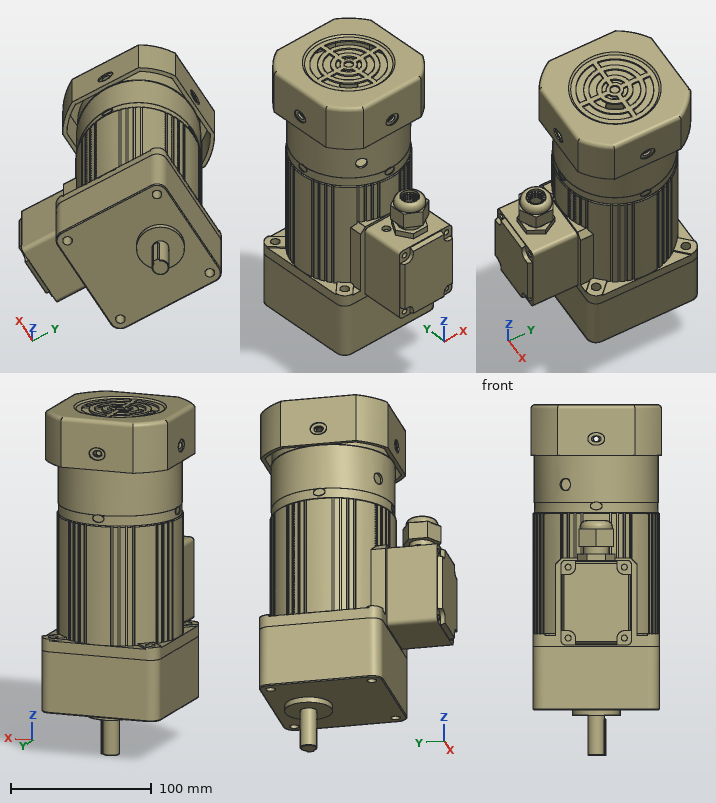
import cadquery as cq
import math


boss_bottom_z = 28.5
gearbox_bottom_z = 32.4
gearbox_top_z = 77.2
flange_top_z = 85.2
frame_top_z = 172.3
bracket_top_z = 213.0
cover_top_z = 249.0

case_width = 90.0
case_half = case_width / 2
case_corner_radius = 8.0
case_edge_chamfer = 0.7
boss_diameter = 34.0
shaft_offset_y = 18.0
mount_hole_offset = 36.9
mount_hole_diameter = 6.7

shaft_diameter = 12.0
shaft_chamfer = 0.5
key_width = 5.0
key_top_x = 7.0
key_length = 26.1
key_chamfer = 0.7

frame_radius = 44.8
ear_width = 12.0
ear_height = 1.2
groove_width = 1.5
groove_depth = 0.7
frame_chamfer = 0.7
groove_pitch_angle = 6.7
grooves_per_group = 4
groove_group_angle = 23.2

seat_width = 57.8
seat_top_z = 140.2
seat_chamfer = 4.5

bracket_radius = 44.0
step_z = 179.5
step_depth = 0.12
spigot_top_z = 229.0
bracket_wall = 1.0
bracket_roof = 2.0
rotor_hole_radius = 6.5
cable_hole_diameter = 8.5
cable_hole_angle = 30.0
cable_hole_z = 192.2
notch_width = 8.5
notch_height = 5.5
notch_depth = 0.7
notch_z = 177.0

cover_width = 93.0
cover_half = cover_width / 2
cover_flat_half = 27.5
cover_wall = 3.0
spigot_radius = cover_half - cover_wall
cover_edge_radius = 3.2
dish_radius = 32.9
dish_floor_radius = 31.4
dish_depth = 1.2
grille_thickness = 1.2
vent_pitch = 9.2
vent_outer_radius = 27.6
vent_widths = [5.5, 5.5, 3.0]
spoke_width = 3.7
center_vent_radius = 3.5
screw_hole_z = 224.5
screw_recess_width = 12.0
screw_recess_height = 9.0
screw_recess_depth = 1.0
screw_slot_width = 6.7
screw_slot_height = 4.5
screw_hole_diameter = 4.0

box_width = 50.0
box_bottom_z = 78.5
box_height = 60.0
box_top_z = box_bottom_z + box_height
box_center_z = box_bottom_z + box_height / 2
box_front_y = -81.7
box_edge_radius = 3.2
lid_front_y = cover_half - 131.5
lid_inset = 0.7
lid_taper = 1.5
lid_screw_x = 20.0
lid_screw_z = 25.1
lid_screw_diameter = 4.2
lid_screw_depth = 5.0
lid_corner_radius = 5.2
box_hole_x = -13.2
box_hole_y = -54.8
box_hole_diameter = 6.2
box_hole_depth = 3.2

gland_y = -64.7
base_across_flats = 23.2
base_height = 4.5
neck_diameter = 18.0
neck_height = 5.2
nut_across_flats = 24.2
nut_height = 12.5
dome_radius = 11.5
dome_height = 6.0
dome_straight = 1.5
mouth_radius = 7.0
mouth_depth = 2.0
gland_bore_radius = 4.7
claw_slots = 16
claw_slot_width = 0.87
claw_slot_depth = 5.0


def z_workplane(z):
    return cq.Workplane("XY", origin=(0, 0, z))


def rounded_square(bottom_z, top_z):
    return (
        z_workplane(bottom_z)
        .rect(case_width, case_width)
        .extrude(top_z - bottom_z)
        .edges("|Z")
        .fillet(case_corner_radius)
    )


def mount_holes(bottom_z, top_z):
    spacing = 2 * mount_hole_offset
    return (
        z_workplane(bottom_z)
        .rect(spacing, spacing, forConstruction=True)
        .vertices()
        .circle(mount_hole_diameter / 2)
        .extrude(top_z - bottom_z)
    )


def make_gearbox():
    case = rounded_square(gearbox_bottom_z, gearbox_top_z).faces("<Z").chamfer(case_edge_chamfer)
    boss = (
        z_workplane(boss_bottom_z)
        .center(0, shaft_offset_y)
        .circle(boss_diameter / 2)
        .extrude(gearbox_bottom_z - boss_bottom_z)
    )
    shaft_hole = (
        z_workplane(boss_bottom_z)
        .center(0, shaft_offset_y)
        .circle(shaft_diameter / 2)
        .extrude(gearbox_bottom_z - boss_bottom_z)
    )
    return case.union(boss).cut(shaft_hole).cut(mount_holes(gearbox_bottom_z, gearbox_top_z))


def make_output_shaft():
    """Shaft with a round-ended key along its +X side, running out at the free end."""
    shaft = (
        cq.Workplane("XY")
        .center(0, shaft_offset_y)
        .circle(shaft_diameter / 2)
        .extrude(gearbox_bottom_z)
        .faces("<Z")
        .chamfer(shaft_chamfer)
    )
    key_round = key_width / 2
    key = (
        cq.Workplane("YZ")
        .center(shaft_offset_y, 0)
        .moveTo(-key_round, 0)
        .lineTo(key_round, 0)
        .lineTo(key_round, key_length - key_round)
        .threePointArc((0, key_length), (-key_round, key_length - key_round))
        .close()
        .extrude(key_top_x)
        .faces(">X")
        .edges("not <Z")
        .chamfer(key_chamfer)
    )
    return shaft.union(key)


def frame_grooves():
    """Groups of grooves on both sides of each of the four axis directions."""
    length = frame_top_z - flange_top_z
    groove = (
        z_workplane(flange_top_z)
        .center(frame_radius, 0)
        .rect(2 * groove_depth, groove_width)
        .extrude(length)
        .val()
    )
    first_angle = groove_group_angle - groove_pitch_angle * (grooves_per_group - 1) / 2
    grooves = []
    for quarter in range(4):
        for side in (-1, 1):
            for index in range(grooves_per_group):
                angle = 90 * quarter + side * (first_angle + groove_pitch_angle * index)
                grooves.append(groove.rotate((0, 0, 0), (0, 0, 1), angle))
    return cq.Compound.makeCompound(grooves)


def flange_ears():
    """Slightly raised strips along the diagonals, from the frame to the flange corners."""
    ear_top_z = flange_top_z + ear_height
    strips = z_workplane(flange_top_z).rect(2 * case_width, ear_width).extrude(ear_height)
    strips = strips.union(strips.rotate((0, 0, 0), (0, 0, 1), 90))
    strips = strips.rotate((0, 0, 0), (0, 0, 1), 45)
    core = z_workplane(flange_top_z).circle(frame_radius).extrude(ear_height)
    return rounded_square(flange_top_z, ear_top_z).intersect(strips).cut(core)


def box_seat():
    return (
        z_workplane(gearbox_top_z)
        .center(0, -case_half / 2)
        .rect(seat_width, case_half)
        .extrude(seat_top_z - gearbox_top_z)
        .edges("|Y and >Z")
        .chamfer(seat_chamfer)
    )


def make_motor_housing():
    flange = rounded_square(gearbox_top_z, flange_top_z)
    frame = (
        z_workplane(flange_top_z)
        .circle(frame_radius)
        .extrude(frame_top_z - flange_top_z)
        .faces(">Z")
        .chamfer(frame_chamfer)
    )
    return (
        flange.union(frame.cut(cq.Workplane(frame_grooves())))
        .union(flange_ears())
        .union(box_seat())
        .cut(mount_holes(gearbox_top_z, flange_top_z + ear_height))
    )


def side_oval(width, height, depth, z, surface):
    """Horizontal oval sunk toward the axis from a surface on the -Y side."""
    return (
        cq.Workplane("XZ", origin=(0, -(surface - depth), z))
        .ellipse(width / 2, height / 2)
        .extrude(2 * depth)
    )


def on_four_sides(shape):
    copies = shape
    for quarter in range(1, 4):
        copies = copies.union(shape.rotate((0, 0, 0), (0, 0, 1), 90 * quarter))
    return copies


def bracket_cavity():
    """Round space inside the bracket, with an opening in its roof for the rotor."""
    cavity_radius = spigot_radius - bracket_wall
    height = spigot_top_z - frame_top_z
    cavity = z_workplane(frame_top_z).circle(cavity_radius).extrude(height - bracket_roof)
    return cavity.union(z_workplane(frame_top_z).circle(rotor_hole_radius).extrude(height))


def make_rear_bracket():
    """Hollow bracket with a spigot that reaches up into the fan cover."""
    lower = z_workplane(frame_top_z).circle(bracket_radius - step_depth).extrude(step_z - frame_top_z)
    upper = z_workplane(step_z).circle(bracket_radius).extrude(bracket_top_z - step_z)
    spigot = z_workplane(bracket_top_z).circle(spigot_radius).extrude(spigot_top_z - bracket_top_z)
    cable_hole = (
        cq.Workplane("XZ", origin=(0, 0, cable_hole_z))
        .circle(cable_hole_diameter / 2)
        .extrude(2 * bracket_radius)
        .rotate((0, 0, 0), (0, 0, 1), -cable_hole_angle)
    )
    screw_hole = (
        cq.Workplane("XZ", origin=(0, 0, screw_hole_z))
        .circle(screw_hole_diameter / 2)
        .extrude(bracket_radius)
    )
    notch = side_oval(notch_width, notch_height, notch_depth, notch_z, bracket_radius)
    return (
        lower.union(upper)
        .union(spigot)
        .cut(bracket_cavity())
        .cut(cable_hole)
        .cut(on_four_sides(screw_hole))
        .cut(on_four_sides(notch))
    )


def cover_outline(bottom_z, height, inset):
    """Square with its corners cut by a circle about the axis."""
    side = cover_width - 2 * inset
    corner_radius = math.hypot(cover_half, cover_flat_half) - inset
    square = z_workplane(bottom_z).rect(side, side).extrude(height)
    return square.intersect(z_workplane(bottom_z).circle(corner_radius).extrude(height))


def grille_openings(bottom_z, height):
    """Concentric ring slots divided by four spokes, around a round center hole."""
    rings = None
    for index, vent_width in enumerate(vent_widths):
        outer_radius = vent_outer_radius - vent_pitch * index
        ring = z_workplane(bottom_z).circle(outer_radius).circle(outer_radius - vent_width).extrude(height)
        rings = ring if rings is None else rings.union(ring)
    for spoke_size in ((cover_width, spoke_width), (spoke_width, cover_width)):
        rings = rings.cut(z_workplane(bottom_z).rect(*spoke_size).extrude(height))
    return rings.union(z_workplane(bottom_z).circle(center_vent_radius).extrude(height))


def cover_screw_holes():
    recess = side_oval(
        screw_recess_width, screw_recess_height, screw_recess_depth, screw_hole_z, cover_half
    )
    slot = side_oval(screw_slot_width, screw_slot_height, cover_wall, screw_hole_z, cover_half)
    return on_four_sides(recess.union(slot))


def make_fan_cover():
    height = cover_top_z - bracket_top_z
    roof_thickness = dish_depth + grille_thickness
    cavity_height = height - roof_thickness
    outside = cover_outline(bracket_top_z, height, 0).faces(">Z").edges().fillet(cover_edge_radius)
    cavity = cover_outline(bracket_top_z, cavity_height, cover_wall)
    dish = (
        z_workplane(cover_top_z - dish_depth)
        .circle(dish_floor_radius)
        .workplane(offset=dish_depth)
        .circle(dish_radius)
        .loft()
    )
    vents = grille_openings(bracket_top_z + cavity_height, roof_thickness)
    return outside.cut(cavity).cut(dish).cut(vents).cut(cover_screw_holes())


def lid_corner_cut(side_x, side_z):
    """Corner of the lid cut back to the box front, rounded about the screw hole."""
    depth = box_front_y - lid_front_y
    length = 2 * (box_width / 2 - lid_screw_x + lid_corner_radius)
    height = 2 * (box_height / 2 - lid_screw_z + lid_corner_radius)
    return (
        cq.Workplane(
            "XZ", origin=(side_x * box_width / 2, box_front_y, box_center_z + side_z * box_height / 2)
        )
        .rect(length, height)
        .extrude(depth)
        .edges("|Y")
        .fillet(lid_corner_radius)
    )


def make_terminal_box():
    body = (
        cq.Workplane("XZ", origin=(0, -case_half, box_center_z))
        .rect(box_width, box_height)
        .extrude(-case_half - box_front_y)
        .edges("|Y")
        .fillet(box_edge_radius)
    )
    lid_thickness = box_front_y - lid_front_y
    lid_outline = cq.Sketch().rect(box_width - 2 * lid_inset, box_height - 2 * lid_inset)
    lid_outline = lid_outline.vertices().fillet(box_edge_radius - lid_inset)
    lid = (
        cq.Workplane("XZ", origin=(0, box_front_y, box_center_z))
        .placeSketch(lid_outline)
        .extrude(lid_thickness, taper=math.degrees(math.atan(lid_taper / lid_thickness)))
    )
    for side_x in (-1, 1):
        for side_z in (-1, 1):
            lid = lid.cut(lid_corner_cut(side_x, side_z))
    lid_screw_holes = (
        cq.Workplane("XZ", origin=(0, box_front_y + lid_screw_depth, box_center_z))
        .rect(2 * lid_screw_x, 2 * lid_screw_z, forConstruction=True)
        .vertices()
        .circle(lid_screw_diameter / 2)
        .extrude(lid_screw_depth)
    )
    box_hole = (
        z_workplane(box_top_z - box_hole_depth)
        .center(box_hole_x, box_hole_y)
        .circle(box_hole_diameter / 2)
        .extrude(box_hole_depth)
    )
    return body.union(lid).cut(lid_screw_holes).cut(box_hole)


def hexagon(bottom_z, height, across_flats, turn):
    corner_diameter = across_flats / math.cos(math.radians(30))
    return (
        z_workplane(bottom_z)
        .polygon(6, corner_diameter)
        .extrude(height)
        .rotate((0, 0, 0), (0, 0, 1), turn)
    )


def gland_dome(bottom_z):
    """Turned cap whose rim is rounded over toward the cable mouth."""
    round_radius = dome_height - dome_straight
    shoulder_z = bottom_z + dome_straight
    top_z = bottom_z + dome_height
    middle = round_radius * math.sqrt(0.5)
    flat_radius = dome_radius - round_radius
    return (
        cq.Workplane("XZ")
        .moveTo(0, bottom_z)
        .lineTo(dome_radius, bottom_z)
        .lineTo(dome_radius, shoulder_z)
        .threePointArc((flat_radius + middle, shoulder_z + middle), (flat_radius, top_z))
        .lineTo(0, top_z)
        .close()
        .revolve(360, (0, 0, 0), (0, 1, 0))
    )


def gland_mouth(top_z, bottom_z):
    """Round mouth, narrower bore below it and the slots between the clamping claws."""
    claw_top_z = top_z - mouth_depth
    mouth = z_workplane(claw_top_z).circle(mouth_radius).extrude(mouth_depth)
    bore = z_workplane(bottom_z).circle(gland_bore_radius).extrude(top_z - bottom_z)
    slots = (
        z_workplane(claw_top_z - claw_slot_depth)
        .polarArray(mouth_radius / 2, 0, 360, claw_slots)
        .rect(mouth_radius, claw_slot_width)
        .extrude(claw_slot_depth)
    )
    return mouth.union(bore).union(slots)


def make_cable_gland():
    neck_z = box_top_z + base_height
    nut_z = neck_z + neck_height
    dome_z = nut_z + nut_height
    base = hexagon(box_top_z, base_height, base_across_flats, 0)
    neck = z_workplane(neck_z).circle(neck_diameter / 2).extrude(neck_height)
    nut = hexagon(nut_z, nut_height, nut_across_flats, 30)
    gland = base.union(neck).union(nut).union(gland_dome(dome_z))
    gland = gland.cut(gland_mouth(dome_z + dome_height, neck_z))
    return gland.translate((0, gland_y, 0))


gearbox = make_gearbox()
output_shaft = make_output_shaft()
motor_housing = make_motor_housing()
rear_bracket = make_rear_bracket()
fan_cover = make_fan_cover()
terminal_box = make_terminal_box()
cable_gland = make_cable_gland()

result = cq.Compound.makeCompound(
    [
        gearbox.val(),
        output_shaft.val(),
        motor_housing.val(),
        rear_bracket.val(),
        fan_cover.val(),
        terminal_box.val(),
        cable_gland.val(),
    ]
)